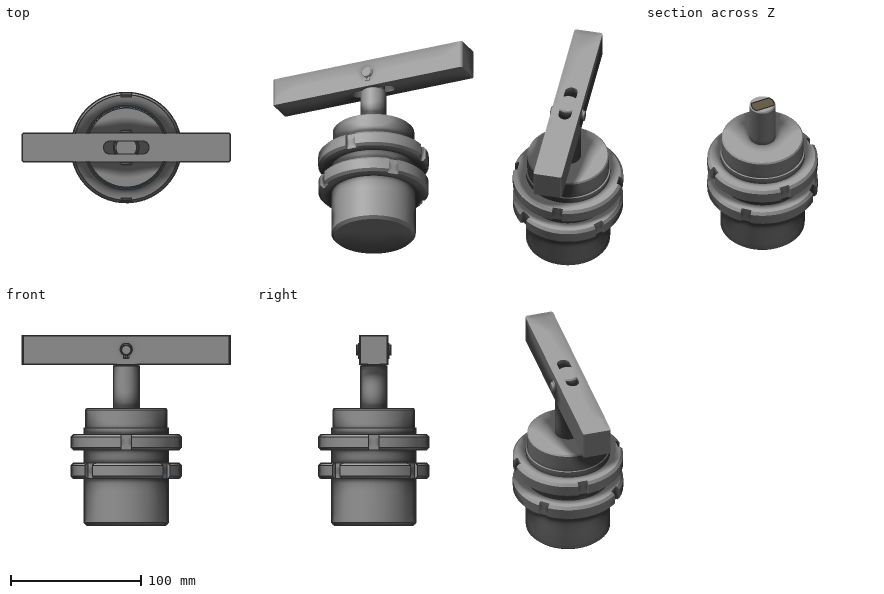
import cadquery as cq

body_diameter = 65.0
body_height = 75.0
body_chamfer = 2.2
collar_diameter = 62.7
housing_height = 90.0
collar_chamfer = 1.0

nut_diameter = 85.0
nut_thickness = 12.0
nut_chamfer = 2.0
nut_notch_width = 8.0
nut_notch_depth = 3.5
lower_nut_z = 36.0
upper_nut_z = 58.0
notch_count = 4
notch_pitch = 360 / notch_count
upper_notch_angle = 0.0
lower_notch_angle = 47.0

handle_length = 160.0
handle_size = 22.0
handle_edge_chamfer = 1.0
total_height = 146.0
handle_bottom = total_height - handle_size
slot_length = 35.0
slot_width = 10.0

rod_diameter = 20.0
shoulder_gap = 0.5
shoulder_z = handle_bottom - shoulder_gap
rod_chamfer = 1.0
tongue_diameter = rod_diameter - 2 * rod_chamfer

pin_diameter = 8.0
pin_length = 26.9
pin_chamfer = 0.5
pin_z = total_height - handle_size / 2

ring_thickness = 0.8
ring_diameter = 9.3
ring_offset = 0.5
lug_width = 4.3
lug_reach = 6.7
lug_corner_radius = 1.1
lug_hole_diameter = 2.0
lug_hole_drop = 5.1


def cylinder(diameter, bottom, top):
    """Upright cylinder on the Z axis between two heights."""
    return cq.Workplane("XY").workplane(offset=bottom).circle(diameter / 2).extrude(top - bottom)


def cross_cylinder(diameter, length):
    """Cylinder along Y, centred on the pin axis."""
    return cq.Workplane("XZ", origin=(0, 0, pin_z)).circle(diameter / 2).extrude(length / 2, both=True)


def make_housing():
    body = cylinder(body_diameter, 0, body_height).faces("<Z").chamfer(body_chamfer)
    collar = cylinder(collar_diameter, body_height, housing_height).faces(">Z").chamfer(collar_chamfer)
    return body.union(collar)


def make_nut(bottom, first_notch_angle):
    """Round nut with chamfered rims and evenly spaced notches in its outer wall."""
    top = bottom + nut_thickness
    nut = cylinder(nut_diameter, bottom, top).faces("<Z or >Z").chamfer(nut_chamfer)
    nut = nut.cut(cylinder(body_diameter, bottom, top))
    notch = cq.Workplane("XY").box(
        2 * nut_notch_depth, nut_notch_width, nut_thickness
    ).translate((nut_diameter / 2, 0, bottom + nut_thickness / 2))
    for i in range(notch_count):
        angle = first_notch_angle + i * notch_pitch
        nut = nut.cut(notch.rotate((0, 0, 0), (0, 0, 1), angle))
    return nut


def make_handle():
    bar = cq.Workplane("XY").workplane(offset=handle_bottom).rect(handle_length, handle_size)
    bar = bar.extrude(handle_size).edges("|Z").chamfer(handle_edge_chamfer)
    slot = cq.Workplane("XY").workplane(offset=handle_bottom).slot2D(slot_length, slot_width)
    return bar.cut(slot.extrude(handle_size)).cut(cross_cylinder(pin_diameter, handle_size))


def make_rod():
    shaft = cylinder(rod_diameter, housing_height, shoulder_z).faces(">Z").chamfer(rod_chamfer)
    tongue = cylinder(tongue_diameter, shoulder_z, total_height).faces(">Z").chamfer(rod_chamfer)
    flats = cq.Workplane("XY").workplane(offset=shoulder_z).rect(rod_diameter, slot_width)
    tongue = tongue.intersect(flats.extrude(total_height - shoulder_z))
    return shaft.union(tongue).cut(cross_cylinder(pin_diameter, slot_width))


def make_pin():
    return cross_cylinder(pin_diameter, pin_length).faces("<Y or >Y").chamfer(pin_chamfer)


def make_retaining_ring(side):
    """Eccentric ring with a pierced lug below the pin; side is -1 for -Y or +1 for +Y."""
    centre_y = side * (handle_size + ring_thickness) / 2
    plane = cq.Workplane("XZ", origin=(0, centre_y, pin_z))
    ring = plane.center(0, ring_offset).circle(ring_diameter / 2).extrude(ring_thickness / 2, both=True)
    lug = plane.center(0, -lug_reach / 2).rect(lug_width, lug_reach).extrude(ring_thickness / 2, both=True)
    lug = lug.edges("|Y and <Z").fillet(lug_corner_radius)
    hole = plane.center(0, -lug_hole_drop).circle(lug_hole_diameter / 2)
    ring = ring.union(lug).cut(hole.extrude(ring_thickness, both=True))
    return ring.cut(cross_cylinder(pin_diameter, pin_length))


housing = make_housing()
upper_nut = make_nut(upper_nut_z, upper_notch_angle)
lower_nut = make_nut(lower_nut_z, lower_notch_angle)
handle = make_handle()
rod = make_rod()
pin = make_pin()
retaining_rings = [make_retaining_ring(side).val() for side in (-1, 1)]

result = cq.Compound.makeCompound([
    housing.val(),
    upper_nut.val(),
    lower_nut.val(),
    handle.val(),
    rod.val(),
    pin.val(),
    *retaining_rings,
])